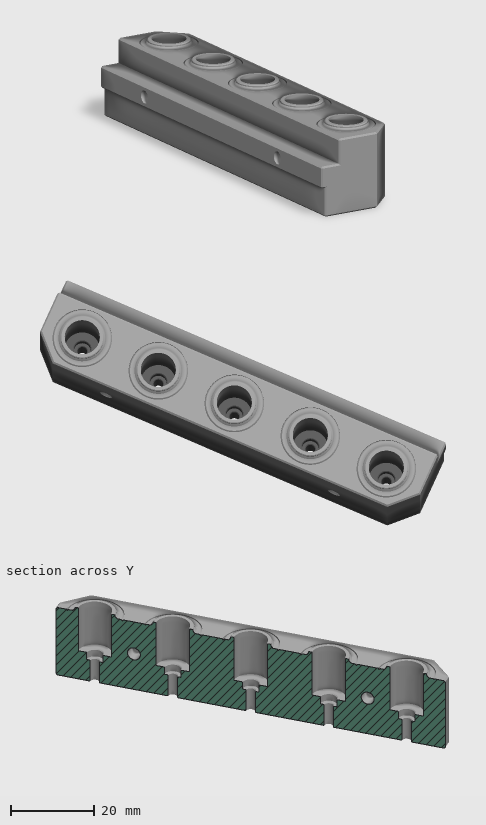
import cadquery as cq

length = 100.0
block_height = 19.0
overall_depth = 21.75
back_y = overall_depth / 2
rib_front_y = -overall_depth / 2
rib_projection = 1.0
lower_front_y = rib_front_y + rib_projection
upper_depth = 16.75
upper_front_y = back_y - upper_depth
rib_bottom_z = 7.25
rib_top_z = 12.75
corner_cut = 6.0
edge_chamfer = 0.4

cross_hole_diameter = 3.2
cross_hole_count = 2
cross_hole_spacing = 60.0
cross_hole_z = (rib_bottom_z + rib_top_z) / 2

coupling_count = 5
coupling_pitch = 20.0
coupling_to_back = 8.5
coupling_y = back_y - coupling_to_back
flange_diameter = 14.3
flange_edge = 0.35
boss_height = 1.0
boss_base_diameter = 11.45
boss_top_diameter = 10.45
boss_cone_height = 0.5
boss_rim_chamfer = 0.2
socket_diameter = 8.45
socket_floor_z = 8.0
counterbore_diameter = 4.1
counterbore_floor_z = 6.0
bore_chamfer = 0.2
passage_diameter = 2.3


def make_block():
    """Stepped bar with two cut back corners and broken outer edges."""
    profile = [
        (back_y, 0),
        (back_y, block_height),
        (upper_front_y, block_height),
        (upper_front_y, rib_top_z),
        (rib_front_y, rib_top_z),
        (rib_front_y, rib_bottom_z),
        (lower_front_y, rib_bottom_z),
        (lower_front_y, 0),
    ]
    block = cq.Workplane("YZ").polyline(profile).close().extrude(length / 2, both=True)
    block = block.edges("|Z and >Y").chamfer(corner_cut)
    outer_edges = block.faces("<X or >X or <Y or <Z or >Z").edges()
    level_edges = outer_edges.edges("not |Z").vals()
    upright_edges = [edge for edge in outer_edges.edges("|Z").vals() if edge.Center().y <= upper_front_y]
    return block.newObject(level_edges + upright_edges).chamfer(edge_chamfer)


def cut_cross_holes(body):
    """Drill the two cross holes from front to back."""
    holes = (
        cq.Workplane("XZ", origin=(0, back_y, cross_hole_z))
        .rarray(cross_hole_spacing, 1, cross_hole_count, 1)
        .circle(cross_hole_diameter / 2)
        .extrude(overall_depth)
    )
    return body.cut(holes)


def revolve_about_z(section):
    """Solid of revolution from (radius, z) points."""
    return cq.Workplane("XZ").polyline(section).close().revolve(360, (0, 0), (0, 1))


def make_flange_groove():
    """Groove left by the bevelled rim of a flange set flush in the top face."""
    inner = flange_diameter / 2 - flange_edge
    outer = flange_diameter / 2
    section = [
        (inner, block_height),
        (outer, block_height - flange_edge),
        (outer, block_height),
    ]
    return revolve_about_z(section)


def make_boss():
    """Raised collar with a conical foot and a bevelled rim."""
    section = [
        (0, block_height),
        (boss_base_diameter / 2, block_height),
        (boss_top_diameter / 2, block_height + boss_cone_height),
        (boss_top_diameter / 2, block_height + boss_height - boss_rim_chamfer),
        (boss_top_diameter / 2 - boss_rim_chamfer, block_height + boss_height),
        (0, block_height + boss_height),
    ]
    return revolve_about_z(section)


def make_bore():
    """Stepped through bore: socket, counterbore and passage."""
    top_z = block_height + boss_height
    section = [
        (0, 0),
        (passage_diameter / 2, 0),
        (passage_diameter / 2, counterbore_floor_z - bore_chamfer),
        (passage_diameter / 2 + bore_chamfer, counterbore_floor_z),
        (counterbore_diameter / 2, counterbore_floor_z),
        (counterbore_diameter / 2, socket_floor_z - bore_chamfer),
        (counterbore_diameter / 2 + bore_chamfer, socket_floor_z),
        (socket_diameter / 2, socket_floor_z),
        (socket_diameter / 2, top_z),
        (0, top_z),
    ]
    return revolve_about_z(section)


flange_groove = make_flange_groove()
boss = make_boss()
bore = make_bore()
first_coupling_x = -(coupling_count - 1) / 2 * coupling_pitch

result = cut_cross_holes(make_block())
for i in range(coupling_count):
    place = (first_coupling_x + i * coupling_pitch, coupling_y, 0)
    result = result.cut(flange_groove.translate(place))
    result = result.union(boss.translate(place))
    result = result.cut(bore.translate(place))